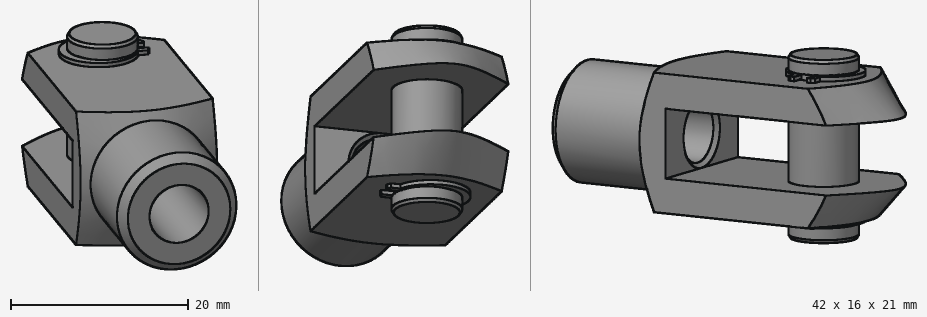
import cadquery as cq
import math

body_width = 16.0
fork_length = 30.0
slot_width = 8.0
slot_depth = 26.0

nose_cone_angle = 45.0
shoulder_chamfer_angle = 30.0
corner_clearance = 1.0

shank_diameter = 14.0
total_length = 42.0
shank_chamfer = 1.0

bore_diameter = 6.92
bore_mouth_diameter = 8.0
bore_chamfer = (bore_mouth_diameter - bore_diameter) / 2

pin_x = 10.0
pin_diameter = 8.0
pin_length = 21.0
pin_end_diameter = 7.5
pin_chamfer_height = 0.4
groove_diameter = 7.2
groove_start = body_width / 2
groove_end = 8.75

ring_diameter = 9.0
ring_offset_y = -0.45
ring_bottom = 8.1
ring_thickness = 0.5
lug_outer_x = 1.74
lug_inner_x = 0.83
lug_tip_y = 5.12
lug_shoulder_y = 4.83


def turned_envelope():
    """Solid of revolution about X that bounds the nose, shoulder and shank."""
    nose_radius = slot_width / 2
    corner_radius = body_width / math.sqrt(2) + corner_clearance
    shank_radius = shank_diameter / 2
    nose_end_x = (corner_radius - nose_radius) / math.tan(math.radians(nose_cone_angle))
    shoulder_run = (corner_radius - shank_radius) * math.tan(math.radians(shoulder_chamfer_angle))
    profile = [
        (0, 0),
        (0, nose_radius),
        (nose_end_x, corner_radius),
        (fork_length - shoulder_run, corner_radius),
        (fork_length, shank_radius),
        (total_length - shank_chamfer, shank_radius),
        (total_length, shank_radius - shank_chamfer),
        (total_length, 0),
    ]
    return cq.Workplane("XY").polyline(profile).close().revolve(360, (0, 0, 0), (1, 0, 0))


def axial_bore():
    """Bore with a countersunk mouth at the bottom of the slot."""
    bore_radius = bore_diameter / 2
    profile = [
        (slot_depth, 0),
        (slot_depth, bore_mouth_diameter / 2),
        (slot_depth + bore_chamfer, bore_radius),
        (total_length, bore_radius),
        (total_length, 0),
    ]
    return cq.Workplane("XY").polyline(profile).close().revolve(360, (0, 0, 0), (1, 0, 0))


def fork():
    square_bar = cq.Workplane("XY").box(
        total_length, body_width, body_width, centered=(False, True, True)
    )
    slot = cq.Workplane("XY").box(
        slot_depth, body_width, slot_width, centered=(False, True, True)
    )
    return square_bar.intersect(turned_envelope()).cut(slot).cut(axial_bore())


def pin():
    """Pin about Z with chamfered ends and a groove just outside each fork cheek."""
    end_chamfer = (pin_diameter - pin_end_diameter) / 2
    rod = cq.Workplane("XY").circle(pin_diameter / 2).extrude(pin_length / 2, both=True)
    rod = rod.faces("<Z").chamfer(pin_chamfer_height, end_chamfer)
    rod = rod.faces(">Z").chamfer(pin_chamfer_height, end_chamfer)
    upper_groove = (
        cq.Workplane("XY", origin=(0, 0, groove_start))
        .circle(pin_diameter / 2)
        .circle(groove_diameter / 2)
        .extrude(groove_end - groove_start)
    )
    rod = rod.cut(upper_groove).cut(upper_groove.mirror("XY"))
    return rod.translate((pin_x, 0, 0))


def retaining_ring():
    """Upper ring with its gap toward +Y; its middle merges with the groove core of the pin."""
    plane = cq.Workplane("XY", origin=(pin_x, 0, ring_bottom))
    ring = plane.center(0, ring_offset_y).circle(ring_diameter / 2).extrude(ring_thickness)
    for side in (-1, 1):
        lug_outline = [
            (side * lug_inner_x, 0),
            (side * lug_inner_x, lug_tip_y),
            (side * (lug_inner_x + lug_outer_x) / 2, lug_tip_y),
            (side * lug_outer_x, lug_shoulder_y),
            (side * lug_outer_x, 0),
        ]
        ring = ring.union(plane.polyline(lug_outline).close().extrude(ring_thickness))
    gap = plane.center(0, lug_tip_y / 2).rect(2 * lug_inner_x, lug_tip_y).extrude(ring_thickness)
    return ring.cut(gap)


upper_ring = retaining_ring()
lower_ring = upper_ring.mirror("XY")
result = fork().union(pin()).union(upper_ring).union(lower_ring)